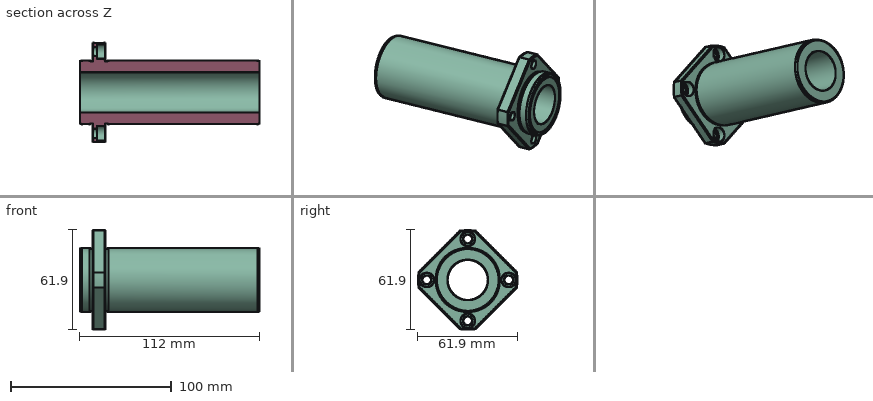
import cadquery as cq
import math

length = 112.0
sleeve_diameter = 40.0
bore_diameter = 25.0

seal_diameter = 35.3
seal_recess_depth = 0.1
end_rounding_length = 1.5
end_rounding_depth = 0.73
end_rounding_radius = 4.5

flange_start = 8.0
flange_thickness = 8.1
flange_side = 50.0
flange_corner_diameter = 61.9
flange_chamfer = 0.5

groove_width = 1.8
groove_depth = 0.5
groove_arc_radius = 2.0

hole_count = 4
hole_circle_diameter = 51.0
hole_diameter = 5.5
counterbore_diameter = 9.0
counterbore_depth = 5.3

start_x = -length / 2
flange_front = start_x + flange_start
flange_back = flange_front + flange_thickness


def disc(x, diameter, thickness):
    """Solid cylinder along +X that starts at x."""
    return cq.Workplane("YZ", origin=(x, 0, 0)).circle(diameter / 2).extrude(thickness)


def make_sleeve():
    """Turned sleeve with rounded ends and a groove on each side of the flange."""
    radius = sleeve_diameter / 2
    end_radius = radius - end_rounding_depth
    groove_floor_radius = radius - groove_depth
    groove_start = flange_front - groove_width
    groove_end = flange_back + groove_width
    end_x = start_x + length
    return (
        cq.Workplane("XY")
        .moveTo(start_x, 0)
        .lineTo(start_x, end_radius)
        .radiusArc((start_x + end_rounding_length, radius), end_rounding_radius)
        .lineTo(groove_start, radius)
        .radiusArc((flange_front, groove_floor_radius), -groove_arc_radius)
        .lineTo(flange_back, groove_floor_radius)
        .radiusArc((groove_end, radius), -groove_arc_radius)
        .lineTo(end_x - end_rounding_length, radius)
        .radiusArc((end_x, end_radius), end_rounding_radius)
        .lineTo(end_x, 0)
        .close()
        .revolve(360, (0, 0, 0), (1, 0, 0))
    )


def make_flange():
    """Square plate with rounded corners and chamfered rims."""
    plate = (
        cq.Workplane("YZ", origin=(flange_front, 0, 0))
        .transformed(rotate=(0, 0, 45))
        .rect(flange_side, flange_side)
        .extrude(flange_thickness)
    )
    plate = plate.intersect(disc(flange_front, flange_corner_diameter, flange_thickness))
    return plate.faces("<X or >X").edges().chamfer(flange_chamfer)


def make_mounting_holes():
    """Through holes with counterbores that open on the back face of the flange."""
    holes = cq.Workplane("YZ")
    for index in range(hole_count):
        angle = index * 2 * math.pi / hole_count
        y = hole_circle_diameter / 2 * math.cos(angle)
        z = hole_circle_diameter / 2 * math.sin(angle)
        shank = disc(flange_front, hole_diameter, flange_thickness)
        head = disc(flange_back - counterbore_depth, counterbore_diameter, counterbore_depth)
        holes = holes.add(shank.union(head).translate((0, y, z)))
    return holes.combine()


seal_recess = disc(start_x, seal_diameter, seal_recess_depth)
bore = disc(start_x, bore_diameter, length)
result = make_sleeve().union(make_flange()).cut(bore).cut(seal_recess).cut(make_mounting_holes())